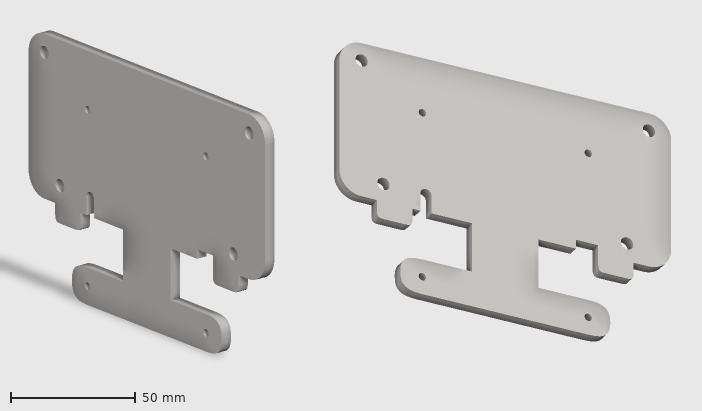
import cadquery as cq

width = 150.0
height = 108.0
thickness = 5.0
half_width = width / 2

panel_height = 70.0
panel_radius = 10.0
panel_bottom = height - panel_height

neck_width = 30.0
bar_length = 95.0
bar_height = 15.9
bar_end_length = 10.0

corner_fullness = 0.75

tab_inner = 42.0
tab_outer = 58.0
tab_drop = 8.0
tab_corner = 3.0
tab_bottom = panel_bottom - tab_drop

slot_x = -35.8
slot_width = 5.0
slot_depth = 10.5
notch_width = 10.0
notch_depth = 4.0

large_hole_diameter = 5.5
upper_large_holes = (65.0, 100.0)
lower_large_holes = (55.0, 46.0)
small_hole_diameter = 3.3
pin_half_spacing = 37.5
pin_spacing_z = 75.0
lower_pin_z = bar_height / 2


def block(x_min, x_max, z_min, z_max):
    """Full-thickness rectangular block."""
    return (
        cq.Workplane("XY")
        .box(x_max - x_min, thickness, z_max - z_min, centered=False)
        .translate((x_min, 0, z_min))
    )


def cylinder(x, z, diameter):
    """Full-thickness cylinder running along Y."""
    return cq.Workplane("XZ", origin=(x, 0, z)).circle(diameter / 2).extrude(-thickness)


def smooth_corner(outline, start, corner, end):
    """Add a full, tangent corner curve from start to end, inside the sharp corner."""
    handles = [
        tuple(p + corner_fullness * (c - p) for p, c in zip(point, corner))
        for point in (start, end)
    ]
    return outline.bezier([start, *handles, end])


def tab(side):
    """Tab with smooth lower corners; side is -1 for left, 1 for right."""
    x_min, x_max = sorted((side * tab_inner, side * tab_outer))
    top = panel_bottom + notch_depth
    shoulder = tab_bottom + tab_corner
    left_foot = (x_min + tab_corner, tab_bottom)
    right_foot = (x_max - tab_corner, tab_bottom)
    outline = cq.Workplane("XZ").moveTo(x_min, top).lineTo(x_min, shoulder)
    outline = smooth_corner(outline, (x_min, shoulder), (x_min, tab_bottom), left_foot)
    outline = outline.lineTo(*right_foot)
    outline = smooth_corner(outline, right_foot, (x_max, tab_bottom), (x_max, shoulder))
    return outline.lineTo(x_max, top).close().extrude(-thickness)


def crossbar():
    """Lower crossbar whose ends are each two smooth corners meeting at mid height."""
    end_x = bar_length / 2
    straight_x = end_x - bar_end_length
    mid_z = bar_height / 2
    outline = cq.Workplane("XZ").moveTo(-straight_x, 0).lineTo(straight_x, 0)
    outline = smooth_corner(outline, (straight_x, 0), (end_x, 0), (end_x, mid_z))
    outline = smooth_corner(outline, (end_x, mid_z), (end_x, bar_height), (straight_x, bar_height))
    outline = outline.lineTo(-straight_x, bar_height)
    outline = smooth_corner(outline, (-straight_x, bar_height), (-end_x, bar_height), (-end_x, mid_z))
    outline = smooth_corner(outline, (-end_x, mid_z), (-end_x, 0), (-straight_x, 0))
    return outline.close().extrude(-thickness)


panel = block(-half_width, half_width, panel_bottom, height).edges("|Y").fillet(panel_radius)
neck = block(-neck_width / 2, neck_width / 2, bar_height / 2, panel_bottom + notch_depth)
result = panel.union(neck).union(crossbar()).union(tab(-1)).union(tab(1))

slot_center_z = panel_bottom + slot_depth - slot_width / 2
slot = block(slot_x - slot_width / 2, slot_x + slot_width / 2, panel_bottom, slot_center_z)
result = result.cut(slot.union(cylinder(slot_x, slot_center_z, slot_width)))

notch = block(tab_inner - notch_width, tab_inner, panel_bottom, panel_bottom + notch_depth)
result = result.cut(notch)

hole_pairs = [
    (upper_large_holes, large_hole_diameter),
    (lower_large_holes, large_hole_diameter),
    ((pin_half_spacing, lower_pin_z), small_hole_diameter),
    ((pin_half_spacing, lower_pin_z + pin_spacing_z), small_hole_diameter),
]
for (hole_x, hole_z), diameter in hole_pairs:
    for side in (-1, 1):
        result = result.cut(cylinder(side * hole_x, hole_z, diameter))